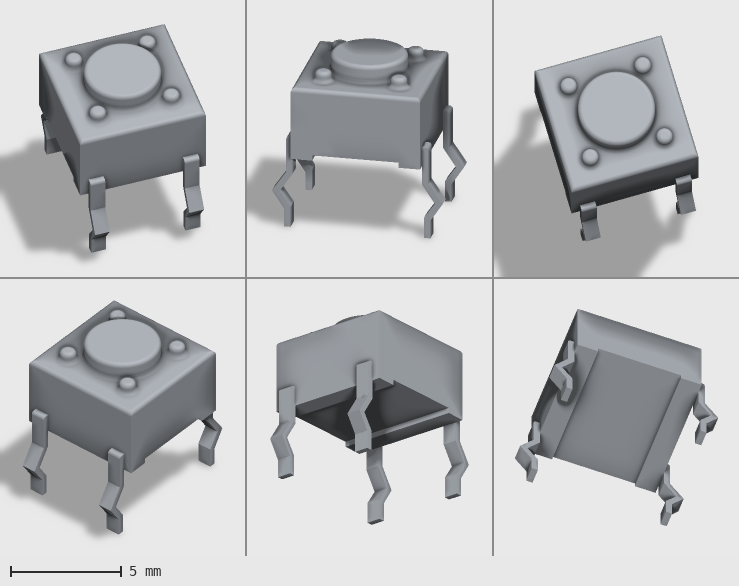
import cadquery as cq

body_side = 6.0
body_bottom = 3.49
body_top = 6.94
edge_round = 0.2
notch_width = 4.0
notch_depth = 0.25

button_diameter = 3.5
button_height = 0.85
rivet_diameter = 0.75
rivet_height = 0.51
rivet_offset = button_diameter / 2

pin_thickness = 0.3
pin_width = 0.7
pin_center_y = 2.24
pin_top = 4.41
pin_top_round = 0.15
pin_tip_inner_x = 3.09
upper_bend_outer_z = 2.66
upper_bend_inner_z = 2.59
apex_outer_x = 3.95
apex_inner_x = 3.595
apex_z = 1.71
lower_bend_outer_z = 0.86
lower_bend_inner_z = 0.98


def make_body():
    height = body_top - body_bottom
    body = cq.Workplane("XY").workplane(offset=body_bottom).rect(body_side, body_side).extrude(height)
    body = body.faces(">Z").edges().fillet(edge_round)
    notch = cq.Workplane("XY").workplane(offset=body_bottom).rect(notch_width, body_side).extrude(notch_depth)
    return body.cut(notch)


def make_knob(diameter, height):
    """Round knob with a rounded rim and a concave flare at its foot, revolved about Z."""
    radius = diameter / 2
    foot_center = (radius + edge_round, edge_round)
    rim_center = (radius - edge_round, height - edge_round)
    diagonal = edge_round * 0.5 ** 0.5
    profile = (
        cq.Workplane("XZ")
        .lineTo(radius + edge_round, 0)
        .threePointArc((foot_center[0] - diagonal, foot_center[1] - diagonal), (radius, edge_round))
        .lineTo(radius, height - edge_round)
        .threePointArc((rim_center[0] + diagonal, rim_center[1] + diagonal), (rim_center[0], height))
        .lineTo(0, height)
        .close()
    )
    return profile.revolve(360, (0, 0, 0), (0, 1, 0)).translate((0, 0, body_top))


def make_pin():
    """Pin on the +X side, centered on Y = 0."""
    inner_x = body_side / 2
    outer_x = inner_x + pin_thickness
    outline = [
        (inner_x, pin_top),
        (outer_x, pin_top),
        (outer_x, upper_bend_outer_z),
        (apex_outer_x, apex_z),
        (pin_tip_inner_x + pin_thickness, lower_bend_outer_z),
        (pin_tip_inner_x + pin_thickness, 0),
        (pin_tip_inner_x, 0),
        (pin_tip_inner_x, lower_bend_inner_z),
        (apex_inner_x, apex_z),
        (inner_x, upper_bend_inner_z),
    ]
    pin = cq.Workplane("XZ").polyline(outline).close().extrude(pin_width / 2, both=True)
    return pin.faces(">Z").edges(">X").fillet(pin_top_round)


result = make_body().union(make_knob(button_diameter, button_height))
rivet = make_knob(rivet_diameter, rivet_height)
right_pin = make_pin()
left_pin = right_pin.mirror("YZ")

for y_side in (-1, 1):
    for x_side, pin in ((-1, left_pin), (1, right_pin)):
        result = result.union(rivet.translate((x_side * rivet_offset, y_side * rivet_offset, 0)))
        result = result.union(pin.translate((0, y_side * pin_center_y, 0)))